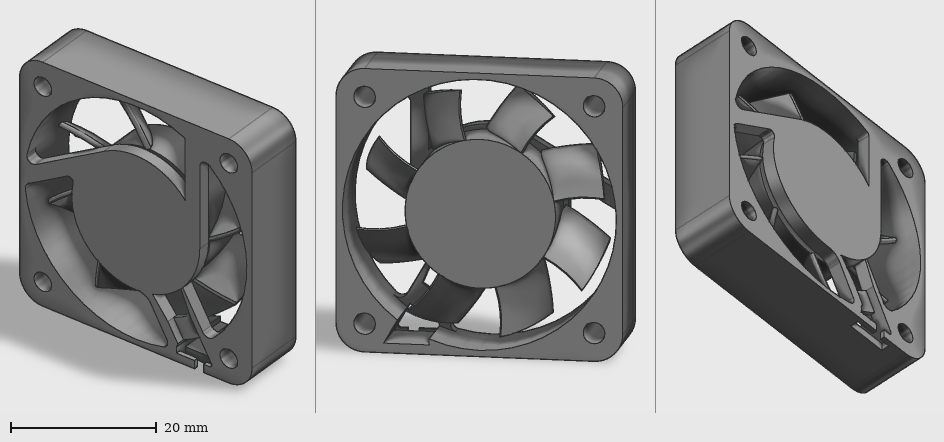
import cadquery as cq
import math

side = 40.0
depth = 10.0
corner_radius = 4.0
hole_diameter = 3.0
hole_pitch = 32.0
bore_radius = 19.1

plate_thickness = 2.0
hub_radius = 11.0
strut_width = 2.5
strut_angles = (0, 120)

sharp_corner_radius = 0.5
hub_corner_radius = 0.75
strut_corner_radius = 1.0
wide_corner_radius = 1.2
duct_root_radius = 2.5

duct_angle = -60.0
duct_left_offset = -3.9
duct_right_offset = 3.25
window_half_width = 2.25
window_floor_z = -18.63
window_left_x = 7.0
window_left_taper = 0.6
window_root_left = (2.8, -10.5)
window_root_right = (7.75, -7.81)
ledge_inner_radius = 15.1
ledge_outer_radius = 18.5
ledge_front_y = 1.3
window_corner_radius = 0.4

lip_thickness = 0.7
notch_left_x = 10.1
notch_right_x = 11.65

rotor_radius = 10.5
rotor_gap = 1.0
rotor_back_y = 9.3
shaft_radius = 3.0
blade_count = 8
blade_tip_radius = 17.5
blade_thickness = 0.8
blade_edge_thickness = 0.3
blade_camber = 0.7
blade_front_y = 3.2
blade_back_y = 9.3
blade_first_angle = 26.7

blade_root_radius = 9.5
blade_root_start = -14.0
blade_root_end = 20.5
blade_middle_radius = 14.0
blade_middle_start = -4.0
blade_middle_end = 20.0
blade_outer_radius = 18.5
blade_tip_start = 3.4
blade_tip_end = 24.0

half = side / 2
front_plane = cq.Plane(origin=(0, 0, 0), xDir=(1, 0, 0), normal=(0, -1, 0))


def prism(sketch, start_y, end_y):
    """Extrude a closed XZ outline from start_y back to end_y."""
    return sketch.extrude(-(end_y - start_y)).translate((0, start_y, 0))


def outline():
    return cq.Workplane(front_plane)


def disc(radius, start_y, end_y):
    return prism(outline().circle(radius), start_y, end_y)


def box(x_range, y_range, z_range):
    size = [high - low for low, high in (x_range, y_range, z_range)]
    corner = cq.Vector(x_range[0], y_range[0], z_range[0])
    return cq.Workplane(cq.Solid.makeBox(*size, corner))


def duct_point(along, across):
    """XZ point at a distance along the duct axis and across it, positive to the right."""
    angle = math.radians(duct_angle)
    x = along * math.cos(angle) - across * math.sin(angle)
    z = along * math.sin(angle) + across * math.cos(angle)
    return (x, z)


def duct_point_at_radius(radius, across):
    return duct_point(math.sqrt(radius**2 - across**2), across)


def strut_point(across, along, angle):
    """XZ point beside a strut: across from the axis and along the strut, turned by its angle."""
    turn = math.radians(angle)
    x = across * math.cos(turn) - along * math.sin(turn)
    z = across * math.sin(turn) + along * math.cos(turn)
    return (x, z)


def make_frame():
    frame = prism(outline().rect(side, side), 0, depth)
    frame = frame.edges("|Y").fillet(corner_radius)
    hole_centres = outline().rect(hole_pitch, hole_pitch, forConstruction=True).vertices()
    holes = hole_centres.circle(hole_diameter / 2)
    frame = frame.cut(prism(holes, 0, depth))
    return frame.cut(disc(bore_radius, plate_thickness, depth))


def make_spider_arms():
    """Hub, tangent struts and the duct arm, running out past the bore."""
    arms = disc(hub_radius, 0, plate_thickness)
    for angle in strut_angles:
        strut = box((hub_radius - strut_width, hub_radius), (0, plate_thickness), (0, side))
        arms = arms.union(strut.rotate((0, 0, 0), (0, -1, 0), angle))
    duct = outline().polyline([
        duct_point(0, duct_left_offset),
        duct_point(0, duct_right_offset),
        duct_point(side, duct_right_offset),
        duct_point(side, duct_left_offset),
    ]).close()
    return arms.union(prism(duct, 0, plate_thickness))


def make_openings():
    """Three air openings between the arms, with their corners rounded."""
    openings = disc(bore_radius, 0, plate_thickness).cut(make_spider_arms())

    strut_inner = hub_radius - strut_width
    inner_reach = math.sqrt(bore_radius**2 - strut_inner**2)
    outer_reach = math.sqrt(bore_radius**2 - hub_radius**2)
    hub_reach = math.sqrt(hub_radius**2 - strut_inner**2)

    first, second = strut_angles
    corners = [
        (strut_point(strut_inner, inner_reach, first), sharp_corner_radius),
        (strut_point(hub_radius, outer_reach, first), strut_corner_radius),
        (strut_point(hub_radius, outer_reach, second), strut_corner_radius),
        (strut_point(strut_inner, inner_reach, second), wide_corner_radius),
        (strut_point(strut_inner, hub_reach, second), hub_corner_radius),
        (duct_point_at_radius(hub_radius, duct_left_offset), duct_root_radius),
        (duct_point_at_radius(bore_radius, duct_left_offset), strut_corner_radius),
        (duct_point_at_radius(bore_radius, duct_right_offset), wide_corner_radius),
    ]
    for (x, z), radius in corners:
        corner = cq.selectors.NearestToPointSelector((x, plate_thickness / 2, z))
        openings = openings.edges("|Y").edges(corner).fillet(radius)
    return openings


def window_floor_right():
    """XZ point where the window's right wall meets its floor."""
    wall_start_z = duct_point(0, window_half_width)[1]
    wall_length = (window_floor_z - wall_start_z) / math.sin(math.radians(duct_angle))
    return duct_point(wall_length, window_half_width)


def make_window():
    """Wire window, running the full depth of the frame and stopping at the hub.

    Its lower right corner is rounded through the lip only.
    """
    right_floor = window_floor_right()
    left_end = duct_point_at_radius(ledge_outer_radius, -window_half_width)
    points = [
        window_root_left,
        window_root_right,
        duct_point_at_radius(ledge_inner_radius, window_half_width),
        right_floor,
        (window_left_x, window_floor_z),
        (window_left_x, left_end[1] - window_left_taper),
        left_end,
        duct_point_at_radius(ledge_inner_radius, -window_half_width),
    ]
    mouth = prism(outline().polyline(points).close(), 0, lip_thickness)
    corner = cq.selectors.NearestToPointSelector((right_floor[0], lip_thickness / 2, right_floor[1]))
    mouth = mouth.edges("|Y").edges(corner).fillet(window_corner_radius)
    window = mouth.union(prism(outline().polyline(points).close(), lip_thickness, depth))
    return window.cut(disc(hub_radius, 0, depth))


def make_ledge(window):
    ring = disc(ledge_outer_radius, ledge_front_y, plate_thickness)
    ring = ring.cut(disc(ledge_inner_radius, 0, depth))
    return ring.intersect(window)


def make_wire_channel():
    wall_z = (-half, window_floor_z)
    channel_x = (window_left_x, window_floor_right()[0])
    channel = box(channel_x, (lip_thickness, plate_thickness), wall_z)
    notch = box((notch_left_x, notch_right_x), (0, plate_thickness), wall_z)
    return channel.union(notch)


def blade_section(radius, start_angle, end_angle):
    """Closed profile of one blade, on a plane square to the blade's centre line.

    The front face is concave, the leading edge is round and the blade thins towards the back.
    """
    centre_angle = (blade_tip_start + blade_tip_end) / 2
    start = radius * math.tan(math.radians(start_angle - centre_angle))
    end = radius * math.tan(math.radians(end_angle - centre_angle))
    front = cq.Vector(start, blade_front_y, 0)
    back = cq.Vector(end, blade_back_y, 0)
    chord = (back - front).normalized()
    normal = cq.Vector(chord.y, -chord.x, 0)

    rear_middle = (front + back) * 0.5 - normal * blade_camber
    face_middle = rear_middle + normal * blade_thickness
    face_back = back + normal * blade_edge_thickness
    face_front = front + normal * blade_thickness
    nose = (front + face_front) * 0.5 - chord * (blade_thickness / 2)

    plane = cq.Plane(origin=(radius, 0, 0), xDir=(0, 0, 1), normal=(-1, 0, 0))
    profile = cq.Workplane(plane).moveTo(front.x, front.y)
    profile = profile.threePointArc((rear_middle.x, rear_middle.y), (back.x, back.y))
    profile = profile.lineTo(face_back.x, face_back.y)
    profile = profile.threePointArc((face_middle.x, face_middle.y), (face_front.x, face_front.y))
    profile = profile.threePointArc((nose.x, nose.y), (front.x, front.y)).close()
    return profile.wire().val()


def make_blade():
    """One blade, centred on the X axis and trimmed to the tip radius."""
    sections = [
        blade_section(blade_root_radius, blade_root_start, blade_root_end),
        blade_section(blade_middle_radius, blade_middle_start, blade_middle_end),
        blade_section(blade_outer_radius, blade_tip_start, blade_tip_end),
    ]
    blade = cq.Workplane(cq.Solid.makeLoft(sections))
    return blade.intersect(disc(blade_tip_radius, 0, depth))


def make_rotor():
    rotor = disc(rotor_radius, plate_thickness + rotor_gap, rotor_back_y)
    rotor = rotor.union(disc(shaft_radius, plate_thickness / 2, rotor_back_y))
    blade = make_blade()
    for index in range(blade_count):
        angle = blade_first_angle + index * 360 / blade_count
        rotor = rotor.union(blade.rotate((0, 0, 0), (0, -1, 0), angle))
    return rotor


window = make_window()
result = make_frame().cut(make_openings()).cut(window)
result = result.union(make_ledge(window)).cut(make_wire_channel()).union(make_rotor())